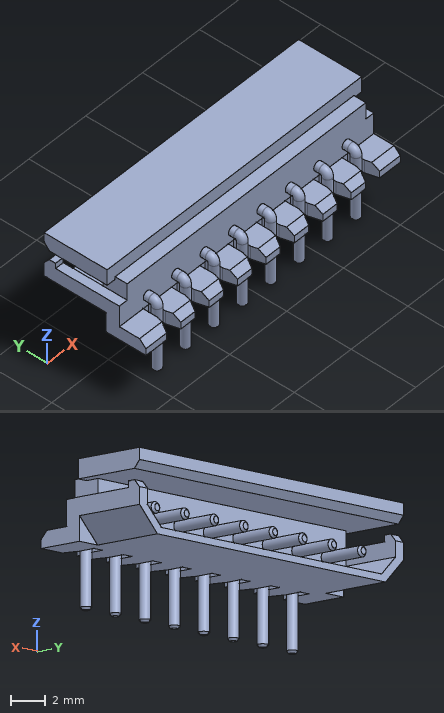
import cadquery as cq


length = 22.4
depth = 7.9
height = 4.93
front_wall_y = 2.05

plate_front_y = 3.0
plate_bottom_z = 3.72
mouth_bevel_run = 0.4
mouth_bevel_rise = 0.47

neck_rear_y = 3.95
neck_top_z = 3.92
neck_inset = 0.7

floor_z = 2.65
lip_top_z = 3.05
lip_front_y = 7.0

arm_width = 0.7
cavity_floor_z = 0.43
cavity_bevel_bottom_inset = 1.88
cavity_bevel_top_z = cavity_floor_z + cavity_bevel_bottom_inset - arm_width

end_bevel_front_y = 3.11
end_bevel_height = 1.52

tooth_height = 1.03
tooth_bevel = 0.5

pin_count = 8
pin_row_length = 17.5
pin_pitch = pin_row_length / (pin_count - 1)
pin_diameter = 0.7
pin_radius = pin_diameter / 2
pin_y = 1.3
pin_top_z = 2.2
pin_bottom_z = -3.47
pin_tip_length = 0.15
pin_tip_inset = 0.13
contact_end_y = lip_front_y
bend_inner_radius = 0.011
bend_radius = bend_inner_radius + pin_radius
bend_y = pin_y + bend_radius
bend_z = pin_top_z - pin_radius - bend_radius

gap_width = 0.72
gap_mouth_width = 1.23
gap_flare_depth = 0.96
gap_undercut = 0.22


def extrude_along_x(points, width):
    """Extrude a (Y, Z) outline along X, centred on X = 0."""
    return cq.Workplane("YZ").polyline(points).close().extrude(width / 2, both=True)


def make_base():
    return extrude_along_x(
        [
            (0, 0),
            (depth, 0),
            (depth, lip_top_z - mouth_bevel_rise),
            (depth - mouth_bevel_run, lip_top_z),
            (lip_front_y, lip_top_z),
            (lip_front_y, floor_z),
            (front_wall_y, floor_z),
            (front_wall_y, tooth_height),
            (tooth_bevel, tooth_height),
            (0, tooth_height - tooth_bevel),
        ],
        length,
    )


def make_neck():
    return extrude_along_x(
        [
            (front_wall_y, floor_z),
            (neck_rear_y, floor_z),
            (neck_rear_y, plate_bottom_z),
            (plate_front_y, plate_bottom_z),
            (plate_front_y, neck_top_z),
            (front_wall_y, neck_top_z),
        ],
        length - 2 * neck_inset,
    )


def make_plate():
    return extrude_along_x(
        [
            (plate_front_y, plate_bottom_z),
            (depth - mouth_bevel_run, plate_bottom_z),
            (depth, plate_bottom_z + mouth_bevel_rise),
            (depth, height),
            (plate_front_y, height),
        ],
        length,
    )


def make_end_bevel(side):
    """Wedge removed from under one end of the base; side is -1 or 1."""
    end_x = side * length / 2
    return (
        cq.Workplane("XZ", origin=(0, end_bevel_front_y, 0))
        .polyline(
            [
                (end_x, 0),
                (end_x, end_bevel_height),
                (end_x - side * end_bevel_height, 0),
            ]
        )
        .close()
        .extrude(end_bevel_front_y - depth)
    )


def make_cavity():
    """Cavity from the neck to the rear, with 45-degree lower corners above the end bevels."""
    wall_x = length / 2 - arm_width
    floor_x = length / 2 - cavity_bevel_bottom_inset
    return (
        cq.Workplane("XZ", origin=(0, neck_rear_y, 0))
        .polyline(
            [
                (-wall_x, plate_bottom_z),
                (-wall_x, cavity_bevel_top_z),
                (-floor_x, cavity_floor_z),
                (floor_x, cavity_floor_z),
                (wall_x, cavity_bevel_top_z),
                (wall_x, plate_bottom_z),
            ]
        )
        .close()
        .extrude(neck_rear_y - depth)
    )


def make_gap(x):
    """Gap between two teeth, running slightly under the front wall."""
    gap_end_y = front_wall_y + gap_undercut
    half_gap = gap_width / 2
    half_mouth = gap_mouth_width / 2
    return (
        cq.Workplane("XY")
        .polyline(
            [
                (x - half_mouth, 0),
                (x - half_gap, gap_flare_depth),
                (x - half_gap, gap_end_y),
                (x + half_gap, gap_end_y),
                (x + half_gap, gap_flare_depth),
                (x + half_mouth, 0),
            ]
        )
        .close()
        .extrude(tooth_height)
    )


def make_pin(x):
    """Right-angle pin: downward leg, tight quarter bend and a contact running into the cavity."""
    leg = (
        cq.Workplane("XY", origin=(x, pin_y, pin_bottom_z))
        .circle(pin_radius)
        .extrude(bend_z - pin_bottom_z)
        .faces("<Z")
        .chamfer(pin_tip_length, pin_tip_inset)
    )
    bend = (
        cq.Workplane("XY", origin=(x, bend_y, bend_z))
        .center(0, -bend_radius)
        .circle(pin_radius)
        .revolve(90, (0, bend_radius), (-1, bend_radius))
    )
    contact = (
        cq.Workplane("XZ", origin=(x, contact_end_y, bend_z + bend_radius))
        .circle(pin_radius)
        .extrude(contact_end_y - bend_y)
        .faces(">Y")
        .chamfer(pin_tip_length, pin_tip_inset)
    )
    return leg.union(bend).union(contact)


pin_positions = [i * pin_pitch - pin_row_length / 2 for i in range(pin_count)]

result = make_base().cut(make_cavity()).union(make_neck()).union(make_plate())
for side in (-1, 1):
    result = result.cut(make_end_bevel(side))
for x in pin_positions:
    result = result.cut(make_gap(x))
for x in pin_positions:
    result = result.union(make_pin(x))